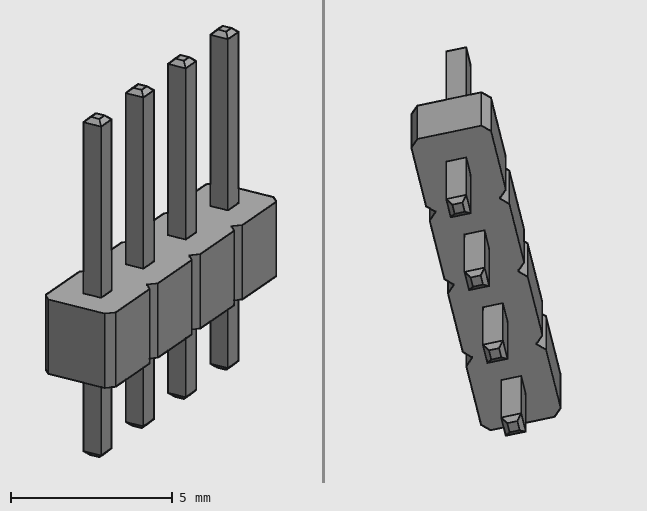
import cadquery as cq

pitch = 2.54
pin_count = 4
body_chamfer = 0.25

pin_width = 0.64
pin_tip_chamfer = 0.16
pin_above_body = 6.0
pin_below_body = 3.0

body_width = pitch
body_height = pitch
pin_length = pin_below_body + body_height + pin_above_body
first_pin_y = -(pin_count - 1) * pitch / 2


def housing_segment(y):
    """One pitch of the housing, standing on Z = 0, with chamfered vertical edges."""
    return (
        cq.Workplane("XY")
        .center(0, y)
        .rect(body_width, pitch)
        .extrude(body_height)
        .edges("|Z")
        .chamfer(body_chamfer)
    )


def pin(y):
    """One square pin with both tips chamfered on all four sides."""
    return (
        cq.Workplane("XY", origin=(0, y, -pin_below_body))
        .rect(pin_width, pin_width)
        .extrude(pin_length)
        .faces("<Z or >Z")
        .chamfer(pin_tip_chamfer)
    )


header = cq.Workplane("XY")
for index in range(pin_count):
    pin_y = first_pin_y + index * pitch
    header = header.union(housing_segment(pin_y)).union(pin(pin_y))

result = header.clean()